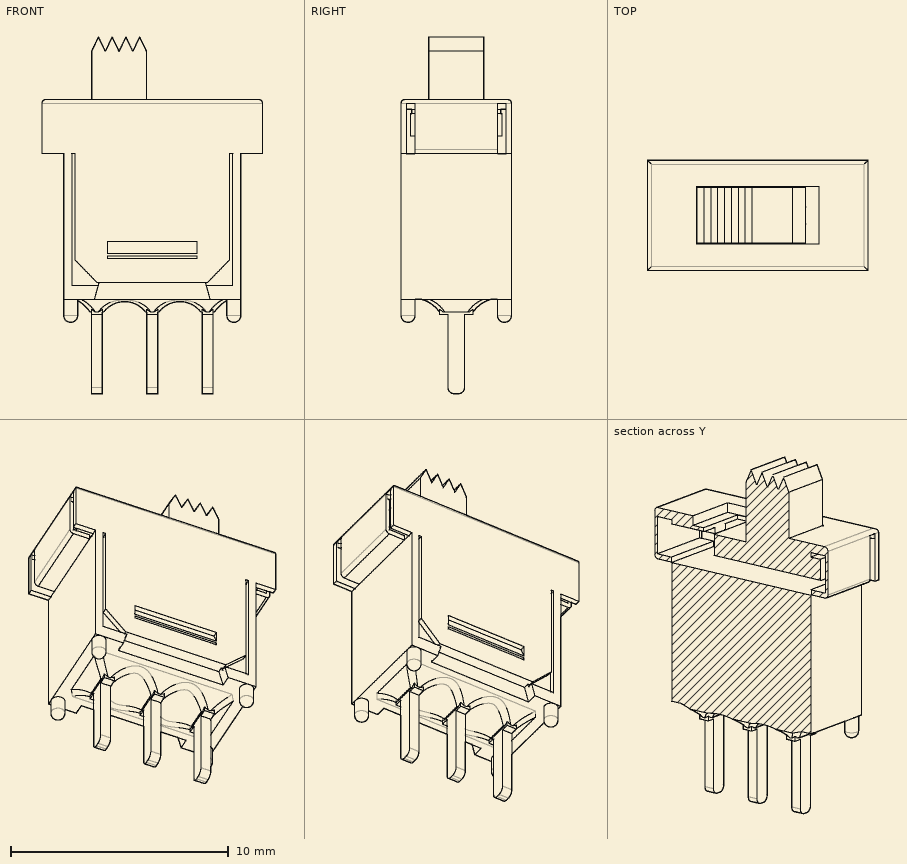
import cadquery as cq


sheet = 0.26
depth_y = 5.09
front_y = depth_y / 2
inner_y = front_y - sheet

body_length = 8.15
body_bottom = 4.35
body_top = 11.05
recess_half_x = 3.7
recess_bottom = 4.99
notch_depth = 0.54
notch_half_top = 2.45
notch_half_bottom = 2.66

flap_half_x = 3.56
flap_half_tip = 2.55
flap_shoulder_z = 6.17
flap_bottom = 5.12
latch_half_x = 2.07
window_bottom = 6.45
window_top = 7.0
slit_bottom = 6.22
slit_top = 6.33

cap_length = 10.15
cap_top = 13.54
cap_roof = 0.46
cap_fillet = 0.2
tab_half_y = 1.9
tab_thickness = 0.18
relief_length = sheet
opening_length = 5.61
opening_width = 2.65
ceiling_z = cap_top - cap_roof

frame_bottom = 12.88
frame_width = 4.1
frame_opening_length = 4.4
frame_opening_width = 2.56
tongue_width = 0.79
tongue_bottom = 12.59

slider_bottom = 11.85
slider_length = 6.24
slider_width = 4.22
lever_x = -1.53
lever_length = 2.53
lever_width = 2.55
lever_top = 16.41
tooth_root = 15.75
tooth_count = 4

pin_pitch = 2.55
pin_thickness = 0.51
pin_width = 0.77
pin_tip_fillet = 0.3
pin_shoulder_width = 1.55
pin_shoulder_bottom = 3.65
seal_bottom = 3.75
seal_valley = 4.23
seal_tip_half_x = 0.31
seal_base_half_x = 0.98
seal_mid_half_x = 0.6
seal_tip_half_y = 0.77
seal_base_half_y = 1.62
seal_mid_half_y = 1.08
seal_mid_z = 4.09
seal_chamfer = 0.21

peg_diameter = 0.65
peg_tip = 3.28


def block(length, width, bottom, top, x=0, y=0):
    """Box centred on (x, y) between two heights."""
    return cq.Workplane("XY", origin=(x, y, bottom)).rect(length, width).extrude(top - bottom)


def front_extrusion(points, outer_y, thickness):
    """X-Z outline extruded inward (toward +Y) from the plane y = -outer_y."""
    return cq.Workplane("XZ", origin=(0, -outer_y, 0)).polyline(points).close().extrude(-thickness)


def front_block(half_x, bottom, top, thickness):
    """Rectangular block at the -Y face."""
    return block(2 * half_x, thickness, bottom, top, y=thickness / 2 - front_y)


def make_flap():
    outline = [
        (-flap_half_x, body_top),
        (-flap_half_x, flap_shoulder_z),
        (-flap_half_tip, flap_bottom),
        (flap_half_tip, flap_bottom),
        (flap_half_x, flap_shoulder_z),
        (flap_half_x, body_top),
    ]
    flap = front_extrusion(outline, front_y, sheet)
    flap = flap.cut(front_block(latch_half_x, window_bottom, window_top, sheet))
    return flap.cut(front_block(latch_half_x, slit_bottom, slit_top, sheet))


def make_latch():
    """Ramp of the body that fills the lower part of the flap's window."""
    profile = [(-front_y, window_bottom), (-inner_y, window_bottom), (-inner_y, window_top)]
    ramp = cq.Workplane("YZ").polyline(profile).close()
    return ramp.extrude(latch_half_x, both=True)


def make_body():
    body = block(body_length, depth_y, body_bottom, body_top)
    recess = front_block(recess_half_x, recess_bottom, body_top, sheet)
    notch_outline = [
        (-notch_half_bottom, body_bottom),
        (-notch_half_top, flap_bottom),
        (notch_half_top, flap_bottom),
        (notch_half_bottom, body_bottom),
    ]
    notch = front_extrusion(notch_outline, front_y, notch_depth)
    side_cut = recess.union(notch)
    side_add = make_flap().union(make_latch())
    body = body.cut(side_cut).cut(side_cut.mirror("XZ"))
    return body.union(side_add).union(side_add.mirror("XZ"))


def make_cap():
    cap = block(cap_length, depth_y, body_top, cap_top)
    cap = cap.faces(">Z").edges().fillet(cap_fillet)
    cap = cap.faces("<Z").edges("<X or >X").fillet(cap_fillet)
    wall = front_block(cap_length / 2, body_top, cap_top - cap_fillet, sheet)
    cap = cap.union(wall).union(wall.mirror("XZ"))
    cap = cap.cut(block(cap_length - 2 * tab_thickness, 2 * inner_y, body_top, ceiling_z))
    cap = cap.cut(block(opening_length, opening_width, ceiling_z, cap_top))

    lip_length = (cap_length - body_length) / 2 - tab_thickness
    lip_x = (body_length + lip_length) / 2
    for x_side in (-1, 1):
        lip = block(lip_length, 2 * tab_half_y, body_top, body_top + sheet, x=x_side * lip_x)
        cap = cap.union(lip)

    relief_width = inner_y - tab_half_y
    relief_y = (inner_y + tab_half_y) / 2
    relief_height = cap_top - cap_fillet - body_top
    for x_side in (-1, 1):
        for y_side in (-1, 1):
            x = x_side * cap_length / 2
            y = y_side * relief_y
            relief = (
                cq.Workplane("XY", origin=(x, y, body_top))
                .slot2D(2 * relief_length, relief_width)
                .extrude(relief_height)
            )
            gap = block(2 * tab_thickness, relief_width, body_top, ceiling_z, x, y)
            cap = cap.cut(relief).cut(gap)
    return cap


def make_guide_frame():
    frame = block(body_length, frame_width, frame_bottom, ceiling_z)
    frame = frame.cut(block(frame_opening_length, frame_opening_width, frame_bottom, ceiling_z))
    tongue_length = (body_length - frame_opening_length) / 2
    tongue_x = (body_length - tongue_length) / 2
    for x_side in (-1, 1):
        tongue = block(tongue_length, tongue_width, tongue_bottom, frame_bottom, x=x_side * tongue_x)
        frame = frame.union(tongue)
    return frame


def make_slider():
    half_length = lever_length / 2
    tooth_pitch = lever_length / tooth_count
    outline = [(-half_length, slider_bottom), (-half_length, tooth_root)]
    for i in range(tooth_count):
        tooth_start = i * tooth_pitch - half_length
        if i > 0:
            outline.append((tooth_start, tooth_root))
        outline.append((tooth_start + tooth_pitch / 2, lever_top))
    outline += [(half_length, tooth_root), (half_length, slider_bottom)]
    lever = front_extrusion(outline, lever_width / 2, lever_width).translate((lever_x, 0, 0))
    return lever.union(block(slider_length, slider_width, slider_bottom, frame_bottom, x=lever_x))


def make_pin(x):
    pin = block(pin_thickness, pin_width, 0, body_bottom, x=x)
    pin = pin.faces("<Z").edges("|X").fillet(pin_tip_fillet)
    return pin.union(block(pin_thickness, pin_shoulder_width, pin_shoulder_bottom, body_bottom, x=x))


def make_seal():
    """Compound drawn down along each pin: the overlap of a lengthwise and a crosswise profile."""
    lengthwise = (
        cq.Workplane("XZ")
        .moveTo(-pin_pitch - seal_base_half_x, body_bottom)
        .threePointArc(
            (-pin_pitch - seal_mid_half_x, seal_mid_z), (-pin_pitch - seal_tip_half_x, seal_bottom)
        )
    )
    for x in (-pin_pitch, 0):
        lengthwise = lengthwise.lineTo(x + seal_tip_half_x, seal_bottom).threePointArc(
            (x + pin_pitch / 2, seal_valley), (x + pin_pitch - seal_tip_half_x, seal_bottom)
        )
    lengthwise = (
        lengthwise.lineTo(pin_pitch + seal_tip_half_x, seal_bottom)
        .threePointArc(
            (pin_pitch + seal_mid_half_x, seal_mid_z), (pin_pitch + seal_base_half_x, body_bottom)
        )
        .close()
        .extrude(seal_base_half_y, both=True)
    )
    crosswise = (
        cq.Workplane("YZ")
        .moveTo(-seal_base_half_y, body_bottom)
        .threePointArc((-seal_mid_half_y, seal_mid_z), (-seal_tip_half_y, seal_bottom))
        .lineTo(seal_tip_half_y, seal_bottom)
        .threePointArc((seal_mid_half_y, seal_mid_z), (seal_base_half_y, body_bottom))
        .close()
        .extrude(body_length / 2, both=True)
    )
    seal = lengthwise.intersect(crosswise)
    return seal.edges("not(#Z or |X or |Y)").chamfer(seal_chamfer)


def make_peg(x, y):
    radius = peg_diameter / 2
    tip_center = peg_tip + radius
    shank = cq.Workplane("XY", origin=(x, y, tip_center)).circle(radius).extrude(body_bottom - tip_center)
    return shank.union(cq.Workplane("XY", origin=(x, y, tip_center)).sphere(radius))


result = make_body().union(make_cap()).union(make_guide_frame()).union(make_slider()).union(make_seal())
for pin_index in (-1, 0, 1):
    result = result.union(make_pin(pin_index * pin_pitch))
peg_x = (body_length - peg_diameter) / 2
peg_y = (depth_y - peg_diameter) / 2
for x_side in (-1, 1):
    for y_side in (-1, 1):
        result = result.union(make_peg(x_side * peg_x, y_side * peg_y))